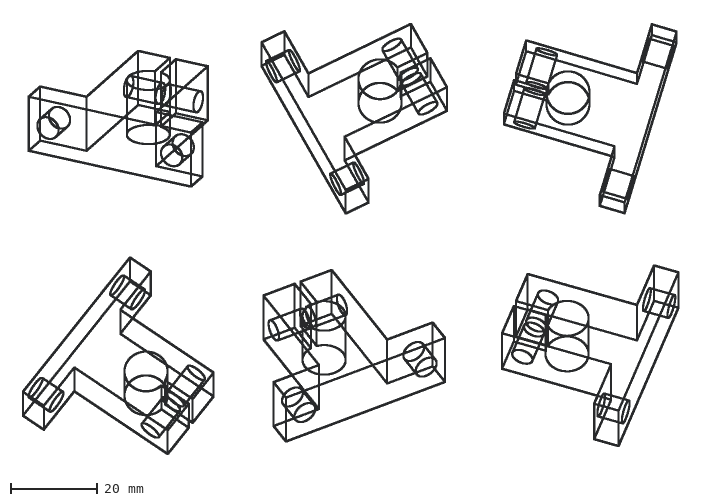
import cadquery as cq

base_length = 42.0
base_depth = 6.0
thickness = 14.0
mount_hole_diameter = 5.5
mount_hole_spacing = 32.0

total_depth = 32.8
block_width = 18.0

bore_diameter = 10.0
bore_height = 20.0
slot_width = 1.5

screw_hole_diameter = 5.0
screw_hole_end_distance = 5.0

mid_height = thickness / 2


def make_body():
    """T-shaped body with the mounting face on the plane Y = 0."""
    base = cq.Workplane("XY").box(base_length, base_depth, thickness, centered=(True, False, False))
    block = cq.Workplane("XY").box(block_width, total_depth, thickness, centered=(True, False, False))
    return base.union(block)


def make_mount_holes():
    """Pair of through holes along Y in the base."""
    half_spacing = mount_hole_spacing / 2
    return (
        cq.Workplane("XZ")
        .pushPoints([(-half_spacing, mid_height), (half_spacing, mid_height)])
        .circle(mount_hole_diameter / 2)
        .extrude(-base_depth)
    )


def make_bore_and_slot():
    """Shaft bore along Z and the slot from its centre to the free end."""
    bore = cq.Workplane("XY").center(0, bore_height).circle(bore_diameter / 2).extrude(thickness)
    slot = (
        cq.Workplane("XY")
        .center(0, bore_height)
        .box(slot_width, total_depth - bore_height, thickness, centered=(True, False, False))
    )
    return bore.union(slot)


def make_screw_hole():
    """Clamp screw hole along X through both jaws."""
    return (
        cq.Workplane("YZ")
        .center(total_depth - screw_hole_end_distance, mid_height)
        .circle(screw_hole_diameter / 2)
        .extrude(block_width / 2, both=True)
    )


result = (
    make_body()
    .cut(make_mount_holes())
    .cut(make_bore_and_slot())
    .cut(make_screw_hole())
)